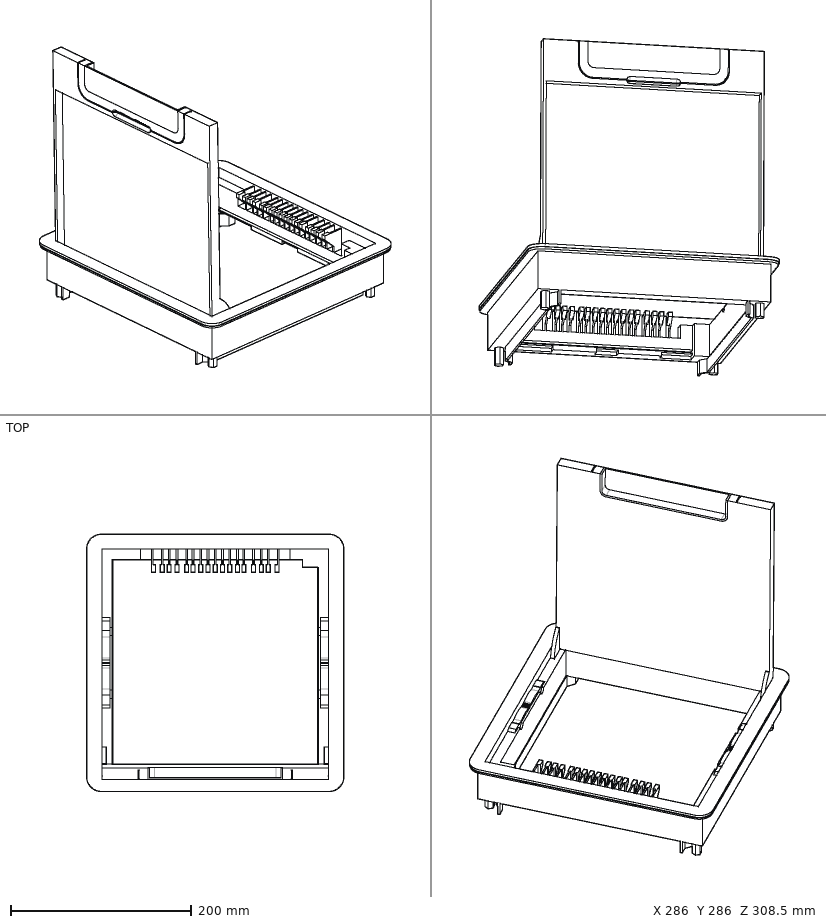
import cadquery as cq
import math


TOTAL_HEIGHT = 308.5
RIM_SIZE = 286.0

RIM_TOP_Z = 68.8
RIM_CORNER_RADIUS = 16.5
RIM_EDGE_HEIGHT = 3.5
RIM_SEAT_HEIGHT = 2.5
RIM_SEAT_INSET = 1.0
BOX_HALF = 132.3
BOX_BOTTOM_Z = 19.5
CAVITY_HALF = 125.5
CAVITY_BACK_Y = 126.5
LEDGE_Z = 56.5
OPENING_HALF = 114.5

CORNER_BLOCK_X = 97.0
CORNER_BLOCK_Y = 106.0

SLOT_BOTTOM_Z = 25.0
SLOT_TOP_Z = 28.5
SLOT_DEPTH = 9.3
REBATE_TOP_Z = 23.5
TAB_INNER_X = 12.3
TAB_OUTER_X = 61.7

COMB_POCKET_HALF = 83.0
COMB_FLOOR_Z = 41.0
FIN_THICKNESS = 2.0
FIN_TOP_Z = 66.5
FIN_NOSE_Y = 100.5
FIN_NOSE_BOTTOM_Z = 61.7
FIN_HEEL_Z = 48.5
FIN_TIP_WIDTH = 4.5
FIN_TIP_LENGTH = 8.5
MIDDLE_FIN_OFFSETS = [8.0, 16.0, 24.7, 31.8, 42.5, 51.2, 59.0]
END_FIN_OFFSET = 70.0

RETAINER_WIDTH = 8.5
RETAINER_HALF_LENGTH = 50.3
RETAINER_TOP_HALF_LENGTH = 46.5
RETAINER_STEP_Y = 35.8
RETAINER_HUMP_OUTER_Y = 29.0
RETAINER_HUMP_INNER_Y = 5.5
RETAINER_HEIGHT = 2.5
RETAINER_STEP_HEIGHT = 2.0
RETAINER_HUMP_HEIGHT = 3.5
RETAINER_GROOVE_HALF = 3.0
RETAINER_GROOVE_FLOOR = 1.0
RETAINER_RIB_HALF = 0.45
LEDGE_NOTCH_RADIUS = 4.5
LEDGE_NOTCH_Y = 35.0

SKIRT_BOTTOM_Z = 4.0
SKIRT_THICKNESS = 2.5
SKIRT_INNER_X = 113.5
SKIRT_JOG = 7.5
SKIRT_JOG_Y = 116.3
FOOT_ACROSS_FLATS = 9.3
FOOT_X = 121.8
FOOT_Y = 121.2

LEAN_ANGLE = 1.0
LID_HALF_WIDTH = CAVITY_HALF
LID_THICKNESS = 13.0
LID_SKIN = 2.5
LID_FLOOR = LID_THICKNESS - LID_SKIN
LID_SIDE_WALL = 3.5
LID_RECESS_TOP_Z = 260.5
EAR_THICKNESS = 4.3
EAR_CLEARANCE = 0.5
EAR_RADIUS = 49.5
EAR_CENTER_Y = -142.8
EAR_CENTER_Z = 47.2
EAR_TOP_Z = 85.8

GROOVE_HALF = 85.8
GROOVE_BOTTOM_Z = 266.2
GROOVE_RADIUS = 16.7
GROOVE_WIDTH = 1.2
INSERT_HALF = 75.0
INSERT_BOTTOM_Z = 278.5
INSERT_RADIUS = 7.5
INSERT_WALL = 2.2
INSERT_FRONT = 2.0
GRIP_HALF_LENGTH = 30.5
GRIP_RADIUS = 4.0


def block(x_min, x_max, y_min, y_max, z_min, z_max):
    size = (x_max - x_min, y_max - y_min, z_max - z_min)
    return cq.Workplane("XY").box(*size, centered=False).translate((x_min, y_min, z_min))


def square_block(half, z_min, z_max):
    return block(-half, half, -half, half, z_min, z_max)


def extrude_along_x(points, x_min, x_max):
    """Extrude a closed (y, z) outline from x_min to x_max."""
    return cq.Workplane("YZ", origin=(x_min, 0, 0)).polyline(points).close().extrude(x_max - x_min)


def with_mirror(solid):
    return solid.union(solid.mirror("YZ"))


def make_shell():
    edge_bottom = RIM_TOP_Z - RIM_EDGE_HEIGHT
    seat_bottom = edge_bottom - RIM_SEAT_HEIGHT
    rim = square_block(RIM_SIZE / 2, edge_bottom, RIM_TOP_Z).edges("|Z").fillet(RIM_CORNER_RADIUS)
    seat = square_block(RIM_SIZE / 2 - RIM_SEAT_INSET, seat_bottom, edge_bottom)
    seat = seat.edges("|Z").fillet(RIM_CORNER_RADIUS - RIM_SEAT_INSET)
    box = square_block(BOX_HALF, BOX_BOTTOM_Z, seat_bottom)
    cavity = block(-CAVITY_HALF, CAVITY_HALF, -CAVITY_HALF, CAVITY_BACK_Y, LEDGE_Z, RIM_TOP_Z)
    opening = square_block(OPENING_HALF, BOX_BOTTOM_Z, LEDGE_Z)
    corner = block(CORNER_BLOCK_X, CAVITY_HALF, CORNER_BLOCK_Y, CAVITY_HALF, BOX_BOTTOM_Z, LEDGE_Z)
    return rim.union(seat).union(box).cut(cavity).cut(opening).union(corner)


def make_wall_slot():
    """Slot in the +Y wall and the rebate under it, interrupted by two hanging tabs."""
    y_max = OPENING_HALF + SLOT_DEPTH
    x_max = CORNER_BLOCK_X
    slot = block(-OPENING_HALF, x_max, OPENING_HALF, y_max, SLOT_BOTTOM_Z, SLOT_TOP_Z)
    rebate = block(-OPENING_HALF, x_max, OPENING_HALF, y_max, BOX_BOTTOM_Z, REBATE_TOP_Z)
    tab = block(TAB_INNER_X, TAB_OUTER_X, OPENING_HALF, y_max, BOX_BOTTOM_Z, REBATE_TOP_Z)
    return slot.union(rebate.cut(with_mirror(tab)))


def make_fin(x, tip_x):
    """One comb fin at x, with a wider tip centred on tip_x."""
    nose_slope = (FIN_NOSE_BOTTOM_Z - FIN_HEEL_Z) / (OPENING_HALF - FIN_NOSE_Y)
    tip_back_y = FIN_NOSE_Y + FIN_TIP_LENGTH
    tip_back_z = FIN_NOSE_BOTTOM_Z - nose_slope * FIN_TIP_LENGTH
    web = [
        (CAVITY_BACK_Y, COMB_FLOOR_Z),
        (CAVITY_BACK_Y, FIN_TOP_Z),
        (FIN_NOSE_Y, FIN_TOP_Z),
        (FIN_NOSE_Y, FIN_NOSE_BOTTOM_Z),
        (OPENING_HALF, FIN_HEEL_Z),
        (OPENING_HALF, COMB_FLOOR_Z),
    ]
    tip = [
        (tip_back_y, FIN_TOP_Z),
        (FIN_NOSE_Y, FIN_TOP_Z),
        (FIN_NOSE_Y, FIN_NOSE_BOTTOM_Z),
        (tip_back_y, tip_back_z),
    ]
    fin = extrude_along_x(web, x - FIN_THICKNESS / 2, x + FIN_THICKNESS / 2)
    return fin.union(extrude_along_x(tip, tip_x - FIN_TIP_WIDTH / 2, tip_x + FIN_TIP_WIDTH / 2))


def make_comb():
    comb = make_fin(0, 0)
    for offset in MIDDLE_FIN_OFFSETS:
        comb = comb.union(with_mirror(make_fin(offset, offset)))
    end_tip_x = END_FIN_OFFSET + FIN_THICKNESS / 2 - FIN_TIP_WIDTH / 2
    return comb.union(with_mirror(make_fin(END_FIN_OFFSET, end_tip_x)))


def make_retainer():
    """Retainer on the +X ledge: stepped ends, two humps and a ribbed groove in the middle."""
    hump_y = (RETAINER_HUMP_OUTER_Y + RETAINER_HUMP_INNER_Y) / 2
    step_z = LEDGE_Z + RETAINER_STEP_HEIGHT
    top_z = LEDGE_Z + RETAINER_HEIGHT
    hump_z = LEDGE_Z + RETAINER_HUMP_HEIGHT
    groove_z = LEDGE_Z + RETAINER_GROOVE_FLOOR
    x_min = CAVITY_HALF - RETAINER_WIDTH
    half = (
        cq.Workplane("YZ", origin=(x_min, 0, 0))
        .moveTo(0, LEDGE_Z)
        .lineTo(RETAINER_HALF_LENGTH, LEDGE_Z)
        .lineTo(RETAINER_TOP_HALF_LENGTH, top_z)
        .lineTo(RETAINER_STEP_Y, top_z)
        .lineTo(RETAINER_STEP_Y, step_z)
        .lineTo(RETAINER_HUMP_OUTER_Y, step_z)
        .threePointArc((hump_y, hump_z), (RETAINER_HUMP_INNER_Y, step_z))
        .lineTo(RETAINER_GROOVE_HALF, step_z)
        .lineTo(RETAINER_GROOVE_HALF, groove_z)
        .lineTo(RETAINER_RIB_HALF, groove_z)
        .lineTo(RETAINER_RIB_HALF, step_z)
        .lineTo(0, step_z)
        .close()
        .extrude(RETAINER_WIDTH)
    )
    return half.union(half.mirror("XZ"))


def make_ledge_notches():
    """Half-round notches in the edge of the +X ledge, beside the retainer."""
    length = CAVITY_HALF - RETAINER_WIDTH - OPENING_HALF
    return (
        cq.Workplane("YZ", origin=(OPENING_HALF, 0, 0))
        .pushPoints([(-LEDGE_NOTCH_Y, LEDGE_Z), (LEDGE_NOTCH_Y, LEDGE_Z)])
        .circle(LEDGE_NOTCH_RADIUS)
        .extrude(length)
    )


def make_ear_slot():
    """Slot in the +X ledge that takes the lower part of a lid ear."""
    x_min = LID_HALF_WIDTH - EAR_THICKNESS - EAR_CLEARANCE
    y_max = EAR_CENTER_Y + EAR_RADIUS
    return block(x_min, CAVITY_HALF, -CAVITY_HALF, y_max, EAR_CENTER_Z, LEDGE_Z)


def make_skirt():
    """Thin wall under the +X side whose ends jog inwards around the feet."""
    outer_x = SKIRT_INNER_X + SKIRT_THICKNESS
    jog_end_y = SKIRT_JOG_Y + SKIRT_JOG
    inner_shift = SKIRT_THICKNESS * math.tan(math.radians(22.5))
    outer = [
        (outer_x, SKIRT_JOG_Y),
        (outer_x - SKIRT_JOG, jog_end_y),
        (outer_x - SKIRT_JOG, BOX_HALF),
    ]
    inner = [
        (SKIRT_INNER_X - SKIRT_JOG, BOX_HALF),
        (SKIRT_INNER_X - SKIRT_JOG, jog_end_y - inner_shift),
        (SKIRT_INNER_X, SKIRT_JOG_Y - inner_shift),
    ]
    half = outer + inner
    outline = half + [(x, -y) for x, y in reversed(half)]
    plan = cq.Workplane("XY", origin=(0, 0, SKIRT_BOTTOM_Z)).polyline(outline).close()
    return plan.extrude(BOX_BOTTOM_Z - SKIRT_BOTTOM_Z)


def make_feet(side, bottom_z):
    """Pair of hexagonal feet on one side (-1 or +1 along X), flats facing X."""
    across_corners = FOOT_ACROSS_FLATS / math.cos(math.radians(30))
    feet = cq.Workplane("XY")
    for y in (-FOOT_Y, FOOT_Y):
        foot = cq.Workplane("XY").polygon(6, across_corners).extrude(BOX_BOTTOM_Z - bottom_z)
        foot = foot.rotate((0, 0, 0), (0, 0, 1), 30).translate((side * FOOT_X, y, bottom_z))
        feet = feet.add(foot)
    return feet.combine()


def make_frame():
    comb_pocket = block(
        -COMB_POCKET_HALF, COMB_POCKET_HALF, OPENING_HALF, CAVITY_BACK_Y, COMB_FLOOR_Z, LEDGE_Z
    )
    frame = make_shell().cut(make_wall_slot()).cut(comb_pocket).union(make_comb())
    frame = frame.cut(with_mirror(make_ledge_notches())).cut(with_mirror(make_ear_slot()))
    frame = frame.union(make_retainer()).union(make_retainer().mirror("YZ"))
    frame = frame.union(make_skirt()).union(make_skirt().mirror("YZ"))
    return frame.union(make_feet(-1, 0)).union(make_feet(1, SKIRT_BOTTOM_Z))


def front_y(z):
    """Y of the lid's leaning front face; it touches the rim's inner edge at the rim top."""
    return -CAVITY_HALF - (z - RIM_TOP_Z) * math.tan(math.radians(LEAN_ANGLE))


def leaning_slab(half_width, z_min, z_max, near, far):
    """Slab parallel to the lid, between two distances behind its front face."""
    outline = [
        (front_y(z_min) + near, z_min),
        (front_y(z_min) + far, z_min),
        (front_y(z_max) + far, z_max),
        (front_y(z_max) + near, z_max),
    ]
    return extrude_along_x(outline, -half_width, half_width)


def u_prism(half_width, bottom_z, radius, near, far):
    """Leaning block, open at the lid's top edge, with its two lower corners rounded."""
    prism = (
        cq.Workplane("XZ")
        .rect(2 * half_width, 2 * (TOTAL_HEIGHT - bottom_z))
        .extrude(LID_HALF_WIDTH, both=True)
        .edges("|Y")
        .fillet(radius)
        .translate((0, front_y(TOTAL_HEIGHT), TOTAL_HEIGHT))
    )
    return prism.intersect(leaning_slab(half_width, bottom_z, TOTAL_HEIGHT, near, far))


def make_grip():
    """Capsule-shaped finger grip centred on the groove below the insert."""
    z = GROOVE_BOTTOM_Z + GROOVE_WIDTH / 2
    straight = GRIP_HALF_LENGTH - GRIP_RADIUS
    grip = cq.Workplane("YZ").circle(GRIP_RADIUS).extrude(straight, both=True)
    for x in (-straight, straight):
        grip = grip.union(cq.Workplane("XY").sphere(GRIP_RADIUS).translate((x, 0, 0)))
    return grip.translate((0, front_y(z), z))


def make_ears():
    """Rounded hinge ears behind the lid's lower corners."""
    disc = (
        cq.Workplane("YZ", origin=(LID_HALF_WIDTH - EAR_THICKNESS, 0, 0))
        .center(EAR_CENTER_Y, EAR_CENTER_Z)
        .circle(EAR_RADIUS)
        .extrude(EAR_THICKNESS)
    )
    behind_lid = leaning_slab(LID_HALF_WIDTH, EAR_CENTER_Z, EAR_TOP_Z, LID_FLOOR, EAR_RADIUS)
    return with_mirror(disc.intersect(behind_lid))


def make_groove():
    """U-shaped groove in the front of the lid, around the insert."""
    outer = u_prism(GROOVE_HALF, GROOVE_BOTTOM_Z, GROOVE_RADIUS, 0, LID_FLOOR)
    inner = u_prism(
        GROOVE_HALF - GROOVE_WIDTH,
        GROOVE_BOTTOM_Z + GROOVE_WIDTH,
        GROOVE_RADIUS - GROOVE_WIDTH,
        0,
        LID_FLOOR,
    )
    return outer.cut(inner)


def make_insert_block():
    return u_prism(INSERT_HALF, INSERT_BOTTOM_Z, INSERT_RADIUS, 0, LID_THICKNESS)


def make_window():
    """Space inside the insert, open at its top and back."""
    return u_prism(
        INSERT_HALF - INSERT_WALL,
        INSERT_BOTTOM_Z + INSERT_WALL,
        INSERT_RADIUS - INSERT_WALL,
        INSERT_FRONT,
        LID_THICKNESS,
    )


def make_lid():
    recess_half = LID_HALF_WIDTH - LID_SIDE_WALL
    lid = leaning_slab(LID_HALF_WIDTH, LEDGE_Z, TOTAL_HEIGHT, 0, LID_THICKNESS)
    lid = lid.cut(leaning_slab(recess_half, LEDGE_Z, LID_RECESS_TOP_Z, 0, LID_FLOOR))
    lid = lid.cut(make_groove()).cut(make_insert_block())
    return lid.union(make_ears()).cut(make_grip())


def make_cable_insert():
    return make_insert_block().cut(make_window())


frame = make_frame()
lid = make_lid()
cable_insert = make_cable_insert()

result = cq.Compound.makeCompound([frame.val(), lid.val(), cable_insert.val()])